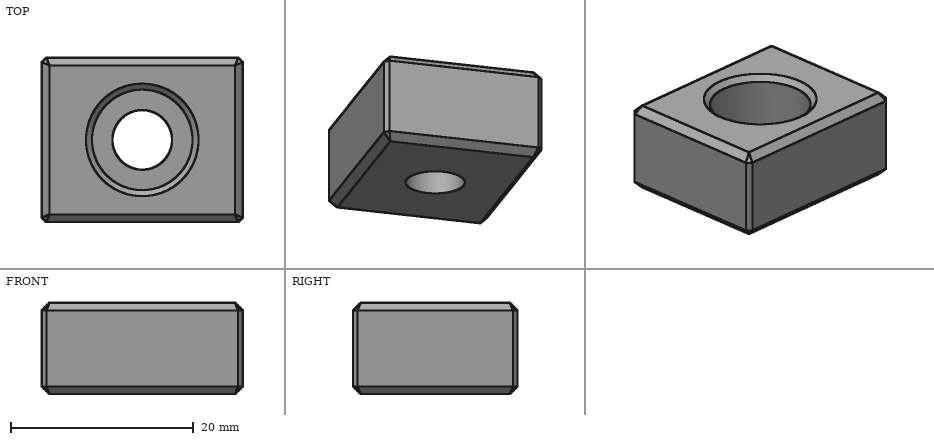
import cadquery as cq
import math

length = 22.0
width = 18.0
height = 10.0
corner_chamfer = 0.5

rim_chamfer = corner_chamfer / (2 - math.sqrt(2))

screw_diameter = 6.5
head_diameter = 11.0
head_depth = 6.5
lead_in = 0.66


def bevelled_box(size_x, size_y):
    """Centred box with its top and bottom rims chamfered."""
    box = cq.Workplane("XY").box(size_x, size_y, height)
    return box.faces("|Z").edges().chamfer(rim_chamfer)


def block():
    """Rectangular block whose corners are cut by a square turned 45 degrees."""
    corner_square = (length + width - 2 * corner_chamfer) / math.sqrt(2)
    corner_cutter = bevelled_box(corner_square, corner_square).rotate((0, 0, 0), (0, 0, 1), 45)
    return bevelled_box(length, width).intersect(corner_cutter)


def screw_hole():
    """Half profile of the stepped hole, revolved about the vertical axis."""
    top = height / 2
    screw_radius = screw_diameter / 2
    head_radius = head_diameter / 2
    profile = (
        cq.Workplane("XZ")
        .moveTo(0, -top)
        .lineTo(screw_radius, -top)
        .lineTo(screw_radius, top - head_depth)
        .lineTo(head_radius, top - head_depth)
        .lineTo(head_radius, top - lead_in)
        .lineTo(head_radius + lead_in, top)
        .lineTo(0, top)
        .close()
    )
    return profile.revolve(360, (0, 0, 0), (0, 1, 0))


result = block().cut(screw_hole())